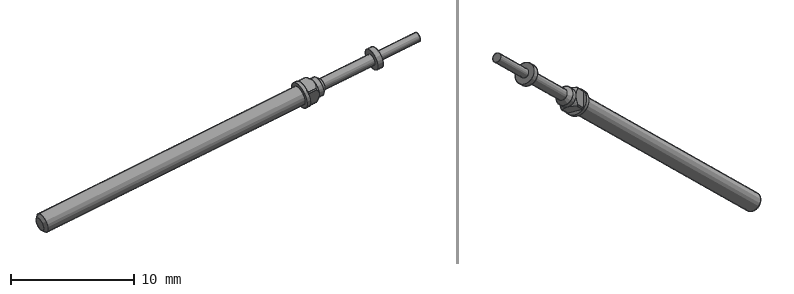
import cadquery as cq

length = 37.0
front_y = -length / 2
back_y = length / 2

barrel_diameter = 1.65
flange_diameter = 2.3
neck_diameter = 1.0
collar_diameter = 1.9
pin_diameter = 0.8

tip_chamfer = 0.25
pin_length = 4.0
collar_length = 0.5
flange_length = 0.35
shoulder_length = 1.85
shoulder_cone_length = 0.35
neck_length = 4.9

square_width = barrel_diameter
square_corner_diameter = 2.22
square_length = 1.07

pin_start = back_y - pin_length
collar_start = pin_start - collar_length
neck_start = collar_start - neck_length
flange_end = neck_start - shoulder_length
flange_start = flange_end - flange_length
square_end = flange_end + square_length


def rod(diameter, start_y, end_y):
    """Round bar on the Y axis between two positions."""
    return cq.Workplane("XZ", origin=(0, end_y, 0)).circle(diameter / 2).extrude(end_y - start_y)


def barrel():
    """Long front barrel with a chamfered tip."""
    return rod(barrel_diameter, front_y, flange_start).faces("<Y").chamfer(tip_chamfer)


def shoulder():
    """Round shoulder behind the square key, narrowing to the neck in a cone."""
    cone_height = (barrel_diameter - neck_diameter) / 2
    body = rod(barrel_diameter, square_end, neck_start)
    return body.faces(">Y").chamfer(shoulder_cone_length, cone_height)


def square_key():
    """Square with rounded corners, turned to a 45 degree cone at its rear end."""
    corner_depth = (square_corner_diameter - square_width) / 2
    end_plane = cq.Workplane("XZ", origin=(0, square_end, 0))
    square = end_plane.rect(square_width, square_width).extrude(square_length)
    turned_blank = rod(square_corner_diameter, flange_end, square_end).faces(">Y").chamfer(corner_depth)
    return square.intersect(turned_blank)


result = (
    barrel()
    .union(rod(flange_diameter, flange_start, flange_end))
    .union(shoulder())
    .union(square_key())
    .union(rod(neck_diameter, neck_start, collar_start))
    .union(rod(collar_diameter, collar_start, pin_start))
    .union(rod(pin_diameter, pin_start, back_y))
)